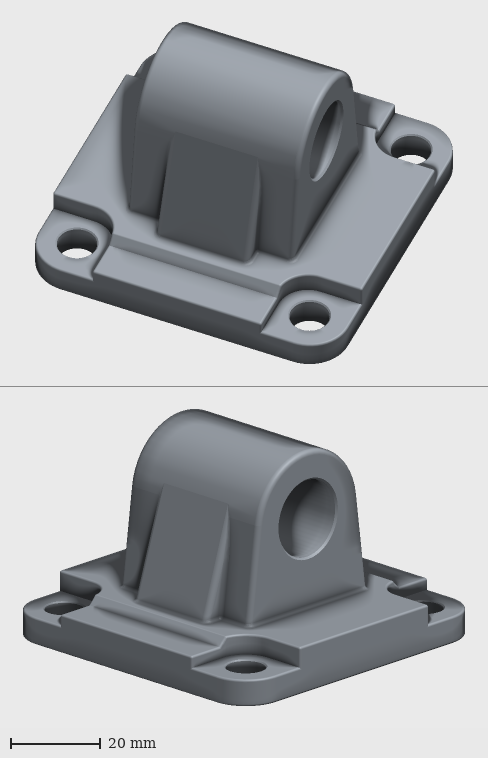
import cadquery as cq
import math

base_size = 75.0
base_height = 11.0
base_corner_radius = 9.3
base_edge_radius = 0.5

bolt_inset = 9.3
bolt_diameter = 9.0
bolt_chamfer = 0.3
bolt_chamfer_angle = 90

recess_size = 17.0
recess_floor = 6.3
recess_corner_radius = 7.0
ledge_height = 9.0
ledge_width = 9.0

overall_height = 48.0
block_length = 40.0
block_radius = 16.0
block_side_angle = 7.5
block_edge_radius = 1.2
bore_diameter = 18.0
bore_chamfer = 0.45

rib_width = 22.5
rib_slope_angle = 18.0
rib_edge_radius = 1.3
rib_root_radius = 0.8
foot_radius = 0.8

half_base = base_size / 2
bore_height = overall_height - block_radius
bolt_spacing = base_size - 2 * bolt_inset
sides = (-1, 1)


def tangent_point(angle):
    """Point (y, z) where a side leaning by angle touches the block's round top."""
    lean = math.radians(angle)
    return block_radius * math.cos(lean), bore_height + block_radius * math.sin(lean)


def foot_half_width(angle):
    """Distance from the middle to where a side leaning by angle meets the base."""
    y, z = tangent_point(angle)
    return y + (z - base_height) * math.tan(math.radians(angle))


def convex_edges(part):
    """Sharp outward edges: a small step to either side of one leaves the solid."""
    probe = 0.01
    least_sharpness = 0.1
    solid = part.val()
    found = []
    for edge in part.edges().vals():
        middle = edge.positionAt(0.5)
        first, second = [
            face.normalAt(middle)
            for face in part.faces().vals()
            if any(edge.isSame(other) for other in face.Edges())
        ]
        across = first - second
        if across.Length < least_sharpness:
            continue
        step = across * probe
        if not solid.isInside(middle + step) and not solid.isInside(middle - step):
            found.append(edge)
    return found


def make_recesses():
    """Rounded square blocks, one centred on each corner of the base."""
    return (
        cq.Workplane("XY", origin=(0, 0, recess_floor))
        .rect(base_size, base_size, forConstruction=True)
        .vertices()
        .rect(2 * recess_size, 2 * recess_size)
        .extrude(base_height - recess_floor)
        .edges("|Z")
        .fillet(recess_corner_radius)
    )


def make_ledge(side):
    """Material above a ledge, with a 45 degree slope up to the top of the base."""
    slope_foot = half_base - ledge_width
    slope_top = slope_foot - (base_height - ledge_height)
    return (
        cq.Workplane("YZ")
        .moveTo(side * half_base, ledge_height)
        .lineTo(side * slope_foot, ledge_height)
        .lineTo(side * slope_top, base_height)
        .lineTo(side * half_base, base_height)
        .close()
        .extrude(half_base, both=True)
    )


def make_base():
    base = cq.Workplane("XY").rect(base_size, base_size).extrude(base_height)
    base = base.edges("|Z").fillet(base_corner_radius)
    base = base.cut(make_recesses())
    for side in sides:
        base = base.cut(make_ledge(side))
    base = base.newObject(convex_edges(base)).fillet(base_edge_radius)
    return (
        base.copyWorkplane(cq.Workplane("XY", origin=(0, 0, recess_floor)))
        .rect(bolt_spacing, bolt_spacing, forConstruction=True)
        .vertices()
        .cskHole(bolt_diameter, bolt_diameter + 2 * bolt_chamfer, bolt_chamfer_angle)
    )


def make_block():
    """Round-topped block with leaning sides, rounded ends and a chamfered bore."""
    side_y, side_z = tangent_point(block_side_angle)
    foot_y = foot_half_width(block_side_angle)
    block = (
        cq.Workplane("YZ")
        .moveTo(-foot_y, base_height)
        .lineTo(-side_y, side_z)
        .threePointArc((0, overall_height), (side_y, side_z))
        .lineTo(foot_y, base_height)
        .close()
        .extrude(block_length / 2, both=True)
    )
    block = block.faces("<X or >X").edges("not <Z").fillet(block_edge_radius)
    bore = (
        cq.Workplane("YZ")
        .center(0, bore_height)
        .circle(bore_diameter / 2)
        .extrude(block_length / 2, both=True)
    )
    bore_rims = cq.selectors.RadiusNthSelector(0)
    return block.cut(bore).faces("<X or >X").edges("%CIRCLE").edges(bore_rims).chamfer(bore_chamfer)


def make_rib(side):
    """Wedge whose sloped face runs tangent into the block's round top."""
    top_y, top_z = tangent_point(rib_slope_angle)
    rib = (
        cq.Workplane("YZ")
        .moveTo(side * bore_diameter / 2, base_height)
        .lineTo(side * foot_half_width(rib_slope_angle), base_height)
        .lineTo(side * top_y, top_z)
        .close()
        .extrude(rib_width / 2, both=True)
    )
    slope_edges = rib.faces("<X or >X").edges(">Y" if side > 0 else "<Y")
    return slope_edges.fillet(rib_edge_radius)


def make_bearing():
    """Block and ribs, with fillets where the rib flanks meet the block's sides."""
    bearing = make_block()
    for side in sides:
        bearing = bearing.union(make_rib(side))

    half_length = rib_width / 2 + rib_root_radius
    near_y = tangent_point(block_side_angle)[0]
    far_y = foot_half_width(block_side_angle)
    for side in sides:
        root_zone = cq.selectors.BoxSelector(
            (-half_length, side * near_y, base_height),
            (half_length, side * far_y, overall_height),
        )
        bearing = bearing.edges(root_zone).fillet(rib_root_radius)
    return bearing


def fillet_foot(part):
    """Round the corner all along the outline of block and ribs on the base."""
    margin = 0.1
    half_x = block_length / 2 + margin
    half_y = foot_half_width(rib_slope_angle) + margin
    outline = cq.selectors.BoxSelector(
        (-half_x, -half_y, base_height - margin),
        (half_x, half_y, base_height + margin),
        boundingbox=True,
    )
    return part.edges(outline).fillet(foot_radius)


result = fillet_foot(make_base().union(make_bearing()))